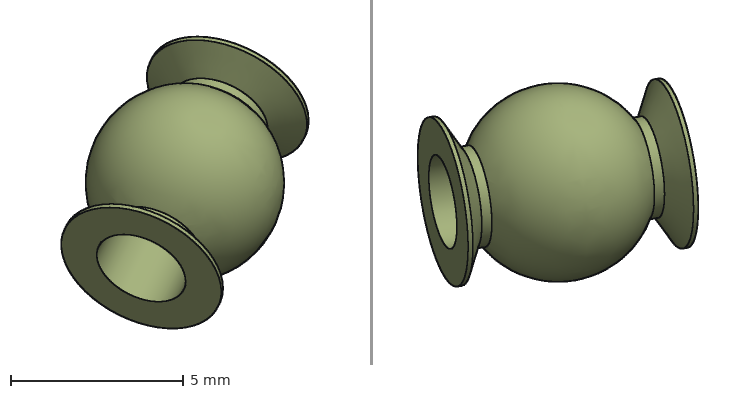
import cadquery as cq
import math

length = 7.0
ball_diameter = 5.78
neck_diameter = 3.0
flange_diameter = 5.0
bore_diameter = 2.77
rim_thickness = 0.15
cone_angle = 30.0

half_length = length / 2
neck_radius = neck_diameter / 2
flange_radius = flange_diameter / 2
rim_inner_y = half_length - rim_thickness
cone_depth = (flange_radius - neck_radius) * math.tan(math.radians(cone_angle))
cone_inner_y = rim_inner_y - cone_depth


def flanged_sleeve():
    """Neck with a conical-backed flange at each end, revolved about Y."""
    profile = (
        cq.Workplane("XY")
        .moveTo(0, -half_length)
        .lineTo(flange_radius, -half_length)
        .lineTo(flange_radius, -rim_inner_y)
        .lineTo(neck_radius, -cone_inner_y)
        .lineTo(neck_radius, cone_inner_y)
        .lineTo(flange_radius, rim_inner_y)
        .lineTo(flange_radius, half_length)
        .lineTo(0, half_length)
        .close()
    )
    return profile.revolve(360, (0, 0, 0), (0, 1, 0))


ball = cq.Workplane("XY").sphere(ball_diameter / 2)
bore = cq.Workplane("XZ").circle(bore_diameter / 2).extrude(half_length, both=True)

result = flanged_sleeve().union(ball).cut(bore)